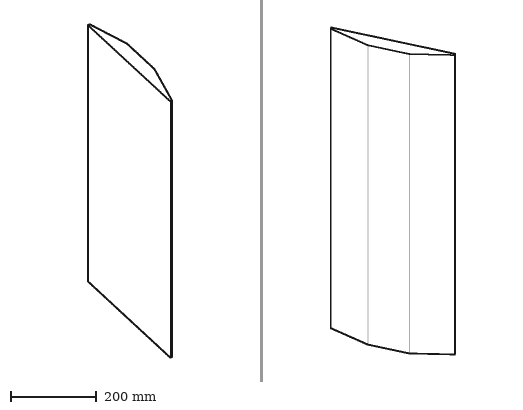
import cadquery as cq

width = 305.0
thickness = 35.0
height = 910.0

edge_thickness = 4.9
crest_width = 102.0

half_width = width / 2
half_crest = crest_width / 2
flat_face_y = -thickness / 2
crest_y = thickness / 2
edge_y = flat_face_y + edge_thickness

profile = [
    (-half_width, flat_face_y),
    (half_width, flat_face_y),
    (half_width, edge_y),
    (half_crest, crest_y),
    (-half_crest, crest_y),
    (-half_width, edge_y),
]

result = (
    cq.Workplane("XY")
    .workplane(offset=-height / 2)
    .polyline(profile)
    .close()
    .extrude(height)
)